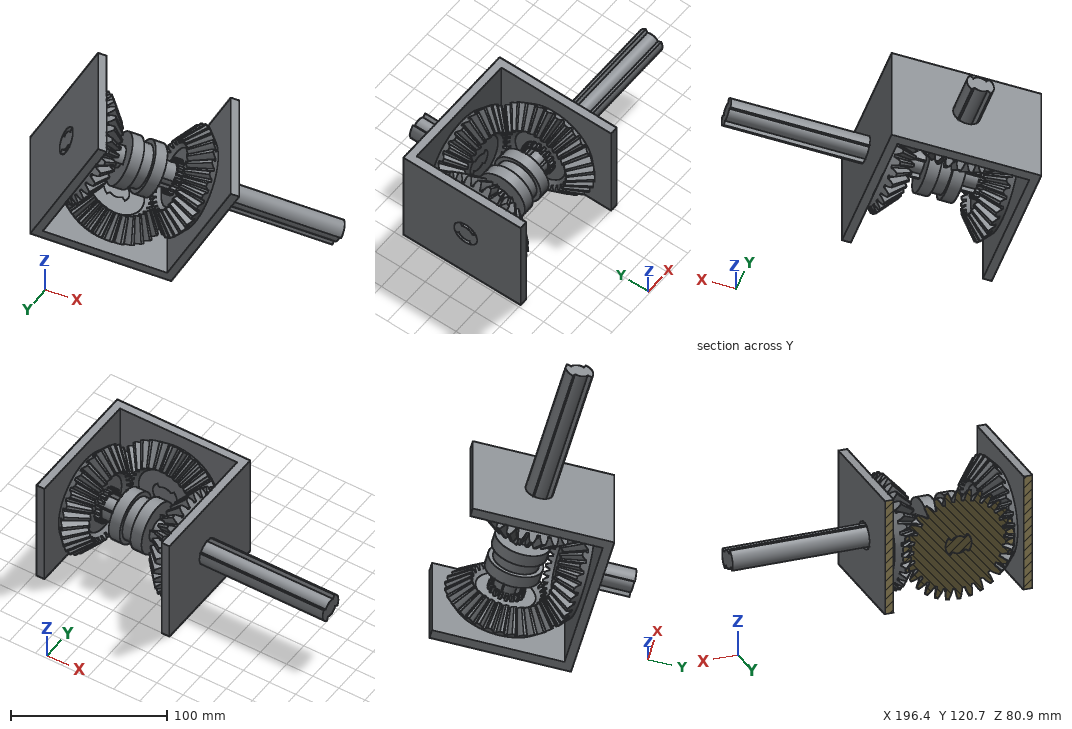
import cadquery as cq
import math


housing_width = 102.0
housing_height = 80.9
housing_depth = 94.2
housing_back_y = 50.0
wall = 6.0

shaft_radius = 9.2
groove_root_radius = 6.3
groove_half_angle = 44.5
drive_shaft_length = 196.4
drive_groove_turn = 17.0
output_shaft_overhang = 26.5
output_groove_turn = 94.5

tooth_count = 30
pitch_radius = 37.0
addendum = 2.4
dedendum = 3.1
inner_scale = 0.65
back_face_radius = 31.5
hub_face_radius = 20.0
crest_allowance = 0.8
crest_half_angle = 1.2
flank_half_angle = 3.3
root_half_angle = 4.6
side_gear_turn = 0.9
output_gear_turn = 0.5

dog_count = 18
dog_outer_radius = 12.2
dog_height = 4.0
dog_width = 1.8

collar_radius = 18.5
collar_length = 25.1
collar_groove_radius = 15.3
collar_groove_width = 8.2

tip_offset = addendum / math.sqrt(2)
root_offset = dedendum / math.sqrt(2)
tip_radius = pitch_radius + tip_offset
tip_distance = pitch_radius - tip_offset
root_radius = pitch_radius - root_offset
root_distance = pitch_radius + root_offset
back_face_distance = 2 * pitch_radius - back_face_radius
hub_face_distance = 2 * pitch_radius * inner_scale - hub_face_radius


def polar(radius, angle):
    """Point at a radius and an angle in degrees."""
    turn = math.radians(angle)
    return (radius * math.cos(turn), radius * math.sin(turn))


def splined_bar(length, groove_turn):
    """Round bar along local Z with two opposite lengthwise grooves, centred at groove_turn."""
    bar = cq.Workplane("XY").circle(shaft_radius).extrude(length)
    beyond = 2 * shaft_radius
    for turn in (groove_turn, groove_turn + 180):
        start = turn - groove_half_angle
        end = turn + groove_half_angle
        groove = (
            cq.Workplane("XY")
            .moveTo(*polar(groove_root_radius, start))
            .lineTo(*polar(beyond, start))
            .threePointArc(polar(beyond, turn), polar(beyond, end))
            .lineTo(*polar(groove_root_radius, end))
            .threePointArc(polar(groove_root_radius, turn), polar(groove_root_radius, start))
            .close()
            .extrude(length)
        )
        bar = bar.cut(groove)
    return bar


def about_z(body, angle):
    """Turn a body about local Z."""
    return body.rotate((0, 0, 0), (0, 0, 1), angle)


def along_plus_x(body):
    """Turn a body from local +Z to +X."""
    return body.rotate((0, 0, 0), (0, 1, 0), 90)


def along_minus_x(body):
    """Turn a body from local +Z to -X."""
    return body.rotate((0, 0, 0), (0, 1, 0), -90)


def along_plus_y(body):
    """Turn a body from local +Z to +Y."""
    return body.rotate((0, 0, 0), (1, 0, 0), -90)


def make_drive_shaft():
    bar = along_plus_x(splined_bar(drive_shaft_length, drive_groove_turn))
    return bar.translate((-housing_width / 2, 0, 0))


def make_output_shaft():
    length = housing_back_y + output_shaft_overhang - hub_face_distance
    bar = along_plus_y(splined_bar(length, output_groove_turn))
    return bar.translate((0, hub_face_distance, 0))


def make_housing():
    front_y = housing_back_y - housing_depth
    blank = cq.Workplane("XY").box(housing_width, housing_depth, housing_height)
    blank = blank.translate((0, front_y + housing_depth / 2, 0))
    cavity = cq.Workplane("XY").box(housing_width - 2 * wall, housing_depth, housing_height)
    cavity = cavity.translate((0, front_y + housing_depth / 2 - wall, 0))
    drive_hole = cq.Workplane("YZ").circle(shaft_radius).extrude(housing_width, both=True)
    output_hole = cq.Workplane("XZ").circle(shaft_radius).extrude(-2 * housing_back_y)
    return blank.cut(cavity).cut(drive_hole).cut(output_hole)


def teeth_section(distance):
    """Outline of all the teeth square to the gear axis; it shrinks evenly towards the apex.

    The crests stand above the finished teeth, and the gear blank trims them to the tip cone.
    """
    root = distance * root_radius / root_distance
    crest = distance * (tip_radius + crest_allowance) / tip_distance
    pitch_angle = 360 / tooth_count
    outline = cq.Workplane("XY", origin=(0, 0, distance))
    outline = outline.moveTo(*polar(root, -root_half_angle))
    for tooth in range(tooth_count):
        middle = tooth * pitch_angle
        outline = (
            outline.threePointArc(
                polar(distance, middle - flank_half_angle), polar(crest, middle - crest_half_angle)
            )
            .lineTo(*polar(crest, middle + crest_half_angle))
            .threePointArc(
                polar(distance, middle + flank_half_angle), polar(root, middle + root_half_angle)
            )
        )
        if tooth < tooth_count - 1:
            outline = outline.lineTo(*polar(root, middle + pitch_angle - root_half_angle))
    return outline.close().val()


def make_gear_blank():
    """Gear without tooth spaces; the apex is the origin and the back face points to local +Z."""
    return (
        cq.Workplane("XZ")
        .moveTo(0, hub_face_distance)
        .lineTo(hub_face_radius, hub_face_distance)
        .lineTo(inner_scale * tip_radius, inner_scale * tip_distance)
        .lineTo(tip_radius, tip_distance)
        .lineTo(back_face_radius, back_face_distance)
        .lineTo(0, back_face_distance)
        .close()
        .revolve(360, (0, 0, 0), (0, 1, 0))
    )


def make_toothed_gear():
    """Bevel gear without a bore, with a tooth centred on local +X."""
    inner_section = teeth_section(inner_scale * tip_distance)
    outer_section = teeth_section(back_face_distance)
    toothed_cone = cq.Solid.makeLoft([inner_section, outer_section], True)
    return make_gear_blank().intersect(cq.Workplane(toothed_cone))


def make_side_gear(toothed_gear):
    """Gear that turns freely on the drive shaft, with a ring of dog teeth on its hub face."""
    dogs = (
        cq.Workplane("XY", origin=(0, 0, hub_face_distance))
        .polarArray(dog_outer_radius / 2, 0, 360, dog_count)
        .rect(dog_outer_radius, dog_width)
        .extrude(-dog_height)
    )
    bore = cq.Workplane("XY").circle(shaft_radius).extrude(back_face_distance)
    return toothed_gear.union(dogs).cut(bore)


def make_output_gear(toothed_gear):
    gear = along_plus_y(about_z(toothed_gear, output_gear_turn - 90))
    return gear.cut(make_output_shaft())


def make_shift_collar():
    collar = cq.Workplane("YZ").circle(collar_radius).extrude(collar_length)
    flange_length = (collar_length - collar_groove_width) / 2
    groove = (
        cq.Workplane("YZ", origin=(flange_length, 0, 0))
        .circle(collar_radius)
        .circle(collar_groove_radius)
        .extrude(collar_groove_width)
    )
    collar = collar.cut(groove).translate((-collar_length / 2, 0, 0))
    return collar.cut(make_drive_shaft())


housing = make_housing()
drive_shaft = make_drive_shaft()
output_shaft = make_output_shaft()
toothed_gear = make_toothed_gear()
side_gear = make_side_gear(toothed_gear)
left_gear = along_minus_x(about_z(side_gear, side_gear_turn))
right_gear = along_plus_x(about_z(side_gear, 180 - side_gear_turn))
output_gear = make_output_gear(toothed_gear).cut(left_gear).cut(right_gear)
shift_collar = make_shift_collar()

bodies = [housing, drive_shaft, output_shaft, left_gear, right_gear, output_gear, shift_collar]
result = cq.Compound.makeCompound([body.val() for body in bodies])